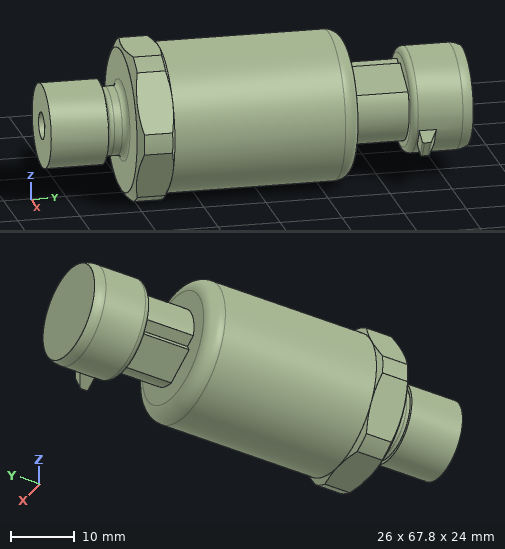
import cadquery as cq
import math


NOSE_LENGTH = 9.25
HEX_START = 12.75
HEX_END = 18.75
BODY_END = 48.75
CAP_START = 57.75
CAP_END = 67.75

NOSE_RADIUS = 6.8
PORT_RADIUS = 2.15
PORT_DEPTH = 1.0
GROOVE_RADIUS = 5.5
GROOVE_CONE = 0.4
GROOVE_BLEND = 1.2
HEX_BLEND = 1.0

HEX_ACROSS_FLATS = 24.0
HEX_CORNER_RADIUS = 13.0
HEX_FACE_RADIUS = 11.5
HEX_CHAMFER_ANGLE = 30.0
BODY_RADIUS = HEX_ACROSS_FLATS / 2
BODY_FILLET = 2.5

KEY_ANGLE = 28.0
NECK_RADIUS = 6.5
KEY_HALF_WIDTH = 5.45
GROOVE_HALF_WIDTH = 4.38
KEY_SHOULDER = -2.75
CAP_RADIUS = 8.5
CAP_FILLET = 1.0
CAP_CROWN_LENGTH = 1.8
CAP_TIP_RADIUS = 8.05

TAB_WIDTH = 3.0
TAB_START = 59.0
TAB_ROOT_RADIUS = 7.5
TAB_TIP_RADIUS = 11.05
TAB_TIP_LENGTH = 1.4
TAB_RAMP_ANGLE = 27.0
TAB_TIP_FILLET = 0.3


def revolve_about_y(outline):
    """Turn a closed (radius, Y) outline once around the Y axis."""
    return outline.close().revolve(360, (0, 0, 0), (0, 1, 0))


def turn_to_key(solid):
    """Turn a solid built with its key axis on +X to the key direction."""
    return solid.rotate((0, 0, 0), (0, 1, 0), KEY_ANGLE)


def make_nose():
    sin45 = math.sin(math.pi / 4)
    cone_end = NOSE_LENGTH + GROOVE_CONE
    floor_start = cone_end + GROOVE_BLEND * sin45
    floor_end = HEX_START - HEX_BLEND
    cone_radius = GROOVE_RADIUS + GROOVE_BLEND * (1 - sin45)
    blend_angle = math.pi / 8
    blend_mid = (
        GROOVE_RADIUS + GROOVE_BLEND * (1 - math.cos(blend_angle)),
        floor_start - GROOVE_BLEND * math.sin(blend_angle),
    )
    hex_blend_mid = (
        GROOVE_RADIUS + HEX_BLEND * (1 - sin45),
        floor_end + HEX_BLEND * sin45,
    )
    outline = (
        cq.Workplane("XY")
        .moveTo(0, PORT_DEPTH)
        .lineTo(PORT_RADIUS, PORT_DEPTH)
        .lineTo(PORT_RADIUS, 0)
        .lineTo(NOSE_RADIUS, 0)
        .lineTo(NOSE_RADIUS, NOSE_LENGTH)
        .lineTo(cone_radius + GROOVE_CONE, NOSE_LENGTH)
        .lineTo(cone_radius, cone_end)
        .threePointArc(blend_mid, (GROOVE_RADIUS, floor_start))
        .lineTo(GROOVE_RADIUS, floor_end)
        .threePointArc(hex_blend_mid, (GROOVE_RADIUS + HEX_BLEND, HEX_START))
        .lineTo(0, HEX_START)
    )
    return revolve_about_y(outline)


def make_hexagon():
    slope = math.tan(math.radians(HEX_CHAMFER_ANGLE))
    front_chamfer = (HEX_CORNER_RADIUS - HEX_FACE_RADIUS) * slope
    back_chamfer = (HEX_CORNER_RADIUS - BODY_RADIUS) * slope
    across_corners = HEX_ACROSS_FLATS / math.cos(math.pi / 6)
    prism = (
        cq.Workplane("XZ", origin=(0, HEX_START, 0))
        .polygon(6, across_corners)
        .extrude(HEX_START - HEX_END)
    )
    turned = revolve_about_y(
        cq.Workplane("XY")
        .moveTo(0, HEX_START)
        .lineTo(HEX_FACE_RADIUS, HEX_START)
        .lineTo(HEX_CORNER_RADIUS, HEX_START + front_chamfer)
        .lineTo(HEX_CORNER_RADIUS, HEX_END - back_chamfer)
        .lineTo(BODY_RADIUS, HEX_END)
        .lineTo(0, HEX_END)
    )
    return prism.intersect(turned)


def make_body():
    return (
        cq.Workplane("XZ", origin=(0, HEX_END, 0))
        .circle(BODY_RADIUS)
        .extrude(HEX_END - BODY_END)
        .faces(">Y")
        .edges()
        .fillet(BODY_FILLET)
    )


def make_neck():
    """Round neck with two flats beside the key and a groove behind each flat."""
    flat_end = math.sqrt(NECK_RADIUS**2 - KEY_HALF_WIDTH**2)
    groove_end = -math.sqrt(NECK_RADIUS**2 - GROOVE_HALF_WIDTH**2)
    outline = (
        cq.Workplane("XZ", origin=(0, BODY_END, 0))
        .moveTo(flat_end, -KEY_HALF_WIDTH)
        .threePointArc((NECK_RADIUS, 0), (flat_end, KEY_HALF_WIDTH))
        .lineTo(KEY_SHOULDER, KEY_HALF_WIDTH)
        .lineTo(KEY_SHOULDER, GROOVE_HALF_WIDTH)
        .lineTo(groove_end, GROOVE_HALF_WIDTH)
        .threePointArc((-NECK_RADIUS, 0), (groove_end, -GROOVE_HALF_WIDTH))
        .lineTo(KEY_SHOULDER, -GROOVE_HALF_WIDTH)
        .lineTo(KEY_SHOULDER, -KEY_HALF_WIDTH)
        .close()
    )
    return turn_to_key(outline.extrude(BODY_END - CAP_START))


def make_cap():
    """Round cap with a filleted inner rim and a slightly crowned outer end."""
    outline = (
        cq.Workplane("XY")
        .moveTo(0, CAP_START)
        .lineTo(CAP_RADIUS - CAP_FILLET, CAP_START)
        .tangentArcPoint((CAP_RADIUS, CAP_START + CAP_FILLET), relative=False)
        .lineTo(CAP_RADIUS, CAP_END - CAP_CROWN_LENGTH)
        .tangentArcPoint((CAP_TIP_RADIUS, CAP_END), relative=False)
        .lineTo(0, CAP_END)
    )
    return turn_to_key(revolve_about_y(outline))


def make_latch_tab():
    ramp_rise = (TAB_TIP_RADIUS - TAB_ROOT_RADIUS) * math.tan(math.radians(TAB_RAMP_ANGLE))
    tip_end = TAB_START + TAB_TIP_LENGTH
    tab = (
        cq.Workplane("XY")
        .moveTo(TAB_ROOT_RADIUS, TAB_START)
        .lineTo(TAB_TIP_RADIUS, TAB_START)
        .lineTo(TAB_TIP_RADIUS, tip_end)
        .lineTo(TAB_ROOT_RADIUS, tip_end + ramp_rise)
        .close()
        .extrude(TAB_WIDTH / 2, both=True)
        .faces(">X")
        .edges("|Z")
        .fillet(TAB_TIP_FILLET)
    )
    return turn_to_key(tab)


result = (
    make_nose()
    .union(make_hexagon())
    .union(make_body())
    .union(make_neck())
    .union(make_cap())
    .union(make_latch_tab())
)